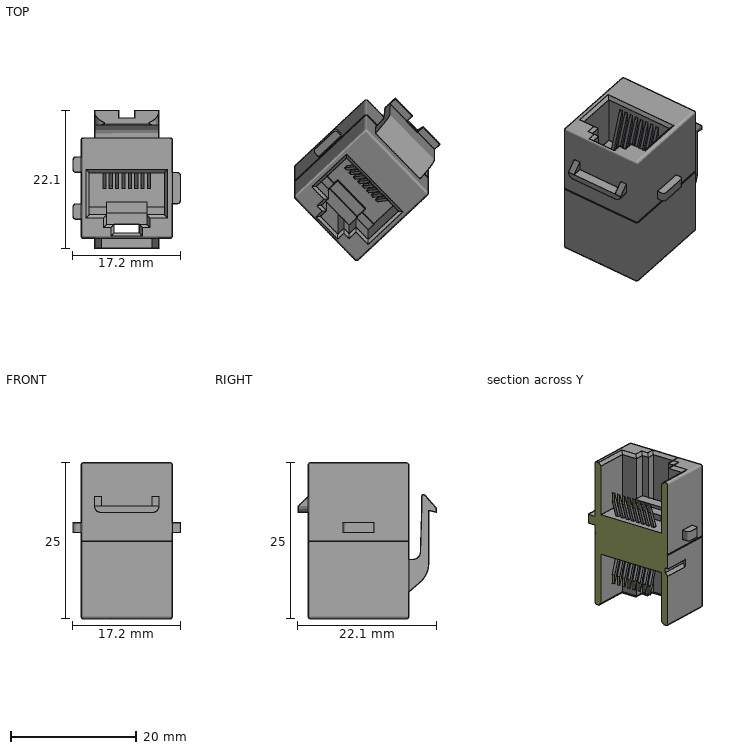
import cadquery as cq
import math

BODY_WIDTH = 14.6
BODY_DEPTH = 16.1
BODY_HEIGHT = 25.0
EDGE_RADIUS = 0.4
MID_HEIGHT = BODY_HEIGHT / 2
SEAM_HEIGHT = 0.1
SEAM_DEPTH = 0.1

PORT_WIDTH = 12.0
PORT_FRONT_Y = 3.8
PORT_BACK_Y = 10.5
PORT_DEPTH = 9.0
KEY_WIDTH = 6.4
KEY_FRONT_Y = 2.25
LATCH_SLOT_WIDTH = 4.0
LATCH_SLOT_FRONT_Y = 0.9
RIM_CHAMFER = 0.5
PORT_FLOOR_Z = BODY_HEIGHT - PORT_DEPTH
FLOOR_STEP = 0.5
LEDGE_BACK_Y = 5.05
BLOCK_BACK_Y = 5.85
BLOCK_TIER_Y = 4.1

CONTACT_COUNT = 8
CONTACT_PITCH = 1.02
CONTACT_WIDTH = 0.5
CONTACT_THICKNESS = 0.5
CONTACT_TOP_DROP = 1.45
CONTACT_REACH = 2.55

PEG_PROJECTION = 1.3
PEG_BOTTOM_Z = 13.8
PEG_HEIGHT = 1.6
PEG_RADIUS = 0.5
PEG_LENGTH = 2.5
PEG_SPACING = 7.5
PEG_CENTRE_Y = BODY_DEPTH / 2
WIDE_PEG_LENGTH = PEG_SPACING - PEG_LENGTH
SLOT_LENGTH = 5.1
SLOT_CENTRE_Y = 7.25
SLOT_BOTTOM_Z = 8.75
SLOT_TOP_Z = 10.0
SLOT_DEPTH = 0.5

CLIP_WIDTH = 10.3
CATCH_PROJECTION = 1.6
CATCH_BOTTOM_Z = 17.05
CATCH_LEDGE_Z = 18.05
CATCH_TOP_Z = 19.6
CATCH_RADIUS = 1.0
CATCH_EAR_WIDTH = 1.1

LATCH_PROJECTION = 4.4
LATCH_ROOT_BOTTOM_Z = 4.3
LATCH_ROOT_TOP_Z = 9.55
ARM_OUTER_Y = BODY_DEPTH + 3.2
ARM_BEND_RADIUS = 4.0
ARM_BEND_TOP_Z = 8.9
ARM_BEND_ANGLE = math.radians(45)
ARM_INNER_BEND_RADIUS = 1.2
ARM_INNER_BOTTOM_Y = BODY_DEPTH + 1.8
ARM_INNER_TOP_Y = BODY_DEPTH + 2.05
HEAD_NOSE_BOTTOM_Z = 17.05
HEAD_UNDERSIDE_Z = 17.35
HEAD_BASE_Z = 17.75
HEAD_APEX_Z = 20.4
HEAD_TOP_Z = 20.0
HEAD_TIP_RADIUS = 0.3
HEAD_CORNER_RADIUS = 2.2
HEAD_NOTCH_WIDTH = 2.5
HEAD_NOTCH_DEPTH = 1.25

HALF_WIDTH = BODY_WIDTH / 2
LATCH_TIP_Y = BODY_DEPTH + LATCH_PROJECTION


def block(width, y_min, y_max, z_min, z_max):
    """Box centred on X between the given Y and Z limits."""
    return cq.Workplane("XY").box(
        width, y_max - y_min, z_max - z_min, centered=(True, False, False)
    ).translate((0, y_min, z_min))


def extrude_across(profile, width):
    """Extrude a Y-Z outline symmetrically about X = 0."""
    return profile.close().extrude(width / 2, both=True)


def make_body():
    body = block(BODY_WIDTH, 0, BODY_DEPTH, 0, BODY_HEIGHT).edges().fillet(EDGE_RADIUS)
    seam_bottom = MID_HEIGHT - SEAM_HEIGHT
    core = block(BODY_WIDTH - 2 * SEAM_DEPTH, SEAM_DEPTH, BODY_DEPTH - SEAM_DEPTH, seam_bottom, MID_HEIGHT)
    slab = block(2 * BODY_WIDTH, -BODY_DEPTH, 2 * BODY_DEPTH, seam_bottom, MID_HEIGHT)
    return body.cut(slab.cut(core))


def port_opening(growth):
    """Stepped outline of the plug opening, widened outwards by growth."""
    half_port = PORT_WIDTH / 2 + growth
    half_key = KEY_WIDTH / 2 + growth
    half_slot = LATCH_SLOT_WIDTH / 2 + growth
    right_side = [
        (half_slot, LATCH_SLOT_FRONT_Y - growth),
        (half_slot, KEY_FRONT_Y - growth),
        (half_key, KEY_FRONT_Y - growth),
        (half_key, PORT_FRONT_Y - growth),
        (half_port, PORT_FRONT_Y - growth),
        (half_port, PORT_BACK_Y + growth),
    ]
    left_side = [(-x, y) for x, y in reversed(right_side)]
    return cq.Wire.makePolygon([cq.Vector(x, y, 0) for x, y in right_side + left_side], close=True)


def make_contacts():
    """Row of sloping contact wires running from the back wall down into the floor."""
    top_z = BODY_HEIGHT - CONTACT_TOP_DROP
    profile = (
        cq.Workplane("YZ")
        .moveTo(PORT_BACK_Y, top_z)
        .lineTo(PORT_BACK_Y - CONTACT_REACH, PORT_FLOOR_Z)
    )
    slope_angle = math.atan2(CONTACT_REACH, top_z - PORT_FLOOR_Z)
    level_thickness = CONTACT_THICKNESS / math.cos(slope_angle)
    profile = profile.line(level_thickness, 0).lineTo(PORT_BACK_Y + level_thickness, top_z)
    wire = extrude_across(profile, CONTACT_WIDTH)
    first_x = -CONTACT_PITCH * (CONTACT_COUNT - 1) / 2
    contacts = cq.Workplane("XY")
    for index in range(CONTACT_COUNT):
        contacts = contacts.add(wire.translate((first_x + index * CONTACT_PITCH, 0, 0)))
    return contacts.combine()


def make_port():
    """Volume removed by the upper port: stepped cavity with a chamfered rim, less floor and contacts."""
    cavity_outline = port_opening(0).moved(cq.Location(cq.Vector(0, 0, PORT_FLOOR_Z)))
    cavity = cq.Workplane(cq.Solid.extrudeLinear(cavity_outline, [], cq.Vector(0, 0, PORT_DEPTH)))
    rim_bottom = port_opening(0).moved(cq.Location(cq.Vector(0, 0, BODY_HEIGHT - RIM_CHAMFER)))
    rim_top = port_opening(RIM_CHAMFER).moved(cq.Location(cq.Vector(0, 0, BODY_HEIGHT)))
    rim = cq.Workplane(cq.Solid.makeLoft([rim_bottom, rim_top], True))

    ledge = block(PORT_WIDTH, PORT_FRONT_Y, LEDGE_BACK_Y, PORT_FLOOR_Z, PORT_FLOOR_Z + FLOOR_STEP)
    rear_tier = block(KEY_WIDTH, BLOCK_TIER_Y, BLOCK_BACK_Y, PORT_FLOOR_Z, PORT_FLOOR_Z + 2 * FLOOR_STEP)
    front_tier = block(KEY_WIDTH, KEY_FRONT_Y, BLOCK_TIER_Y, PORT_FLOOR_Z, PORT_FLOOR_Z + 3 * FLOOR_STEP)
    return cavity.union(rim).cut(ledge).cut(rear_tier).cut(front_tier).cut(make_contacts())


def make_latch_passage():
    """Passage that joins the latch slots of the upper and lower ports."""
    return block(LATCH_SLOT_WIDTH, LATCH_SLOT_FRONT_Y, KEY_FRONT_Y,
                 BODY_HEIGHT - PORT_FLOOR_Z, PORT_FLOOR_Z)


def make_peg(side, centre_y, length):
    """Peg on the left (side = -1) or right (side = 1) wall with rounded outer corners."""
    root_x = HALF_WIDTH - EDGE_RADIUS
    reach = PEG_PROJECTION + EDGE_RADIUS
    peg = cq.Workplane("XY").box(reach, length, PEG_HEIGHT, centered=(False, True, False))
    peg = peg.edges("|Z and >X").fillet(PEG_RADIUS).translate((root_x, centre_y, PEG_BOTTOM_Z))
    if side < 0:
        peg = peg.mirror("YZ")
    return peg


def make_side_slot():
    """Blind slot in the left wall with a sloping floor and rounded lower corners."""
    sloped_pocket = (
        cq.Workplane("XZ")
        .moveTo(-HALF_WIDTH, SLOT_BOTTOM_Z)
        .line(SLOT_DEPTH, SLOT_DEPTH)
        .lineTo(-HALF_WIDTH + SLOT_DEPTH, SLOT_TOP_Z)
        .lineTo(-HALF_WIDTH, SLOT_TOP_Z)
        .close()
        .extrude(SLOT_LENGTH / 2, both=True)
        .translate((0, SLOT_CENTRE_Y, 0))
    )
    slot_height = SLOT_TOP_Z - SLOT_BOTTOM_Z
    outline = (
        cq.Workplane("XY")
        .box(BODY_WIDTH, SLOT_LENGTH, slot_height, centered=(True, True, False))
        .edges("|X and <Z").fillet(SLOT_DEPTH)
        .translate((-HALF_WIDTH, SLOT_CENTRE_Y, SLOT_BOTTOM_Z))
    )
    return sloped_pocket.intersect(outline)


def make_catch():
    """Front catch: a ledge with rounded lower corners and a sloping ear at each end."""
    base = block(CLIP_WIDTH, -CATCH_PROJECTION, EDGE_RADIUS, CATCH_BOTTOM_Z, CATCH_LEDGE_Z)
    base = base.intersect(
        block(CLIP_WIDTH, -CATCH_PROJECTION, EDGE_RADIUS, CATCH_BOTTOM_Z, CATCH_TOP_Z)
        .edges("|Y and <Z").fillet(CATCH_RADIUS)
    )
    ear_profile = (
        cq.Workplane("YZ")
        .moveTo(-CATCH_PROJECTION, CATCH_LEDGE_Z)
        .lineTo(0, CATCH_TOP_Z)
        .lineTo(EDGE_RADIUS, CATCH_TOP_Z)
        .lineTo(EDGE_RADIUS, CATCH_LEDGE_Z)
    )
    ear = extrude_across(ear_profile, CATCH_EAR_WIDTH)
    ear_x = (CLIP_WIDTH - CATCH_EAR_WIDTH) / 2
    return base.union(ear.translate((ear_x, 0, 0))).union(ear.translate((-ear_x, 0, 0)))


def make_latch():
    """Rear spring latch: curved root, upright arm and a notched wedge head."""
    root_y = BODY_DEPTH - EDGE_RADIUS
    bend_centre_y = ARM_OUTER_Y - ARM_BEND_RADIUS

    def bend_point(angle):
        return (
            bend_centre_y + ARM_BEND_RADIUS * math.cos(angle),
            ARM_BEND_TOP_Z - ARM_BEND_RADIUS * math.sin(angle),
        )

    profile = (
        cq.Workplane("YZ")
        .moveTo(root_y, LATCH_ROOT_BOTTOM_Z)
        .lineTo(BODY_DEPTH, LATCH_ROOT_BOTTOM_Z)
        .lineTo(*bend_point(ARM_BEND_ANGLE))
        .threePointArc(bend_point(ARM_BEND_ANGLE / 2), (ARM_OUTER_Y, ARM_BEND_TOP_Z))
        .lineTo(ARM_OUTER_Y, HEAD_UNDERSIDE_Z)
        .lineTo(LATCH_TIP_Y, HEAD_NOSE_BOTTOM_Z)
        .lineTo(LATCH_TIP_Y, HEAD_BASE_Z)
        .lineTo(ARM_INNER_TOP_Y, HEAD_APEX_Z)
        .lineTo(ARM_INNER_TOP_Y, HEAD_BASE_Z)
        .lineTo(ARM_INNER_BOTTOM_Y, LATCH_ROOT_TOP_Z)
        .lineTo(root_y, LATCH_ROOT_TOP_Z)
    )
    latch = extrude_across(profile, CLIP_WIDTH).edges("|X and >Z").fillet(HEAD_TIP_RADIUS)
    inner_corner = cq.selectors.NearestToPointSelector((0, ARM_INNER_BOTTOM_Y, LATCH_ROOT_TOP_Z))
    latch = latch.edges(inner_corner).fillet(ARM_INNER_BEND_RADIUS)
    head_outline = (
        block(CLIP_WIDTH, root_y, LATCH_TIP_Y, 0, HEAD_TOP_Z)
        .edges("|Y and >Z").fillet(HEAD_CORNER_RADIUS)
    )
    notch = block(HEAD_NOTCH_WIDTH, LATCH_TIP_Y - HEAD_NOTCH_DEPTH, LATCH_TIP_Y,
                  HEAD_NOSE_BOTTOM_Z, HEAD_TOP_Z)
    return latch.intersect(head_outline).cut(notch)


port = make_port()
result = make_body()
result = result.union(make_catch()).union(make_latch())
result = result.cut(port)
result = result.cut(port.mirror("XY", (0, 0, MID_HEIGHT)))
result = result.cut(make_latch_passage())
result = result.cut(make_side_slot())
for peg_offset in (-PEG_SPACING / 2, PEG_SPACING / 2):
    result = result.union(make_peg(-1, PEG_CENTRE_Y + peg_offset, PEG_LENGTH))
result = result.union(make_peg(1, PEG_CENTRE_Y, WIDE_PEG_LENGTH))